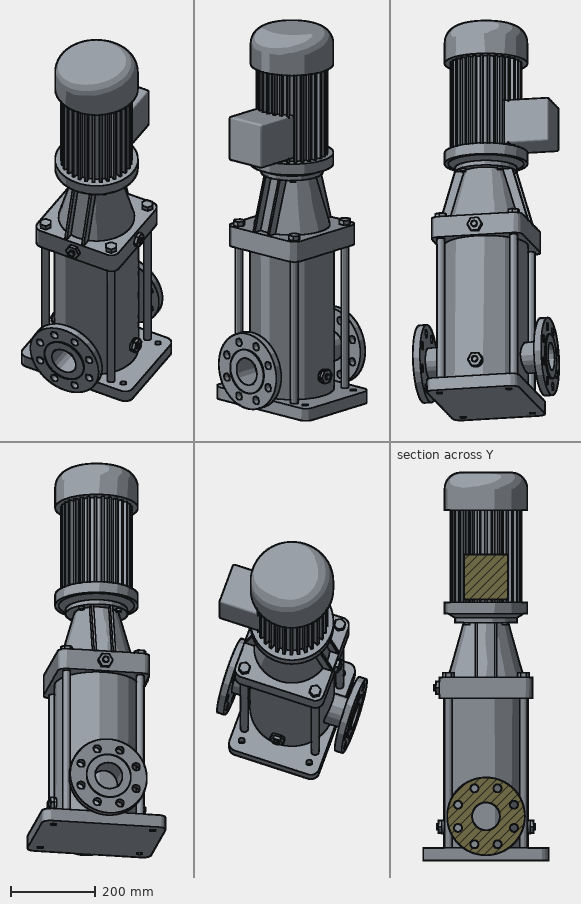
import cadquery as cq
import math


overall_depth = 325.0

base_size_x, base_size_y, base_height = 298.0, 224.5, 30.0
base_corner_radius = 20.0
base_hole_diameter = 14.0
base_hole_spacing_x, base_hole_spacing_y = 239.0, 169.0

casing_diameter = 200.0
head_size, head_corner_radius = 221.0, 20.0
head_bottom, head_top = 385.0, 434.0
rod_diameter = 18.0
rod_spacing = 178.0
nut_across_corners, nut_height = 28.0, 11.0

port_height = 105.0
pipe_diameter, bore_diameter = 74.0, 65.0
flange_diameter, flange_thickness = 185.0, 17.5
flange_outer_face = 156.0
raised_face_diameter, raised_face_height = 107.0, 3.0
flange_hole_diameter, flange_hole_count = 18.0, 8
flange_hole_circle = 143.5

plug_across_flats, plug_hex_height = 30.0, 8.0
plug_tip_diameter, plug_tip_height = 14.0, 5.0
plug_boss_diameter, plug_boss_height = 32.0, 5.0
head_plug_height = 409.0
drain_plug_height = 80.0

lantern_top = 564.0
lantern_bottom_radius, lantern_top_radius = 90.0, 53.0
rib_bottom_reach, rib_top_reach = 109.0, 70.0
rib_thickness, rib_offset = 5.5, 23.0
motor_bolt_diameter, motor_bolt_height, motor_bolt_spacing = 13.0, 5.5, 90.0

motor_diameter = 197.0
spigot_diameter, spigot_top = 147.0, 575.0
flare_diameter = 179.0
motor_flange_bottom, motor_flange_top = 585.0, 612.0
fan_cover_bottom, motor_top = 831.0, 920.0
fan_cover_fillet = 40.0
fin_count, fin_diameter, fin_root_diameter = 30, 170.0, 147.0
fin_thickness = 5.5

box_width, box_bottom, box_top = 105.0, 618.0, 726.0
box_outer_face = overall_depth - flange_outer_face - raised_face_height
box_fillet = 5.5

FACING_FRONT, FACING_RIGHT, FACING_BACK, FACING_LEFT = 0, 90, 180, 270


def cylinder(diameter, bottom, top):
    return cq.Workplane("XY").workplane(offset=bottom).circle(diameter / 2).extrude(top - bottom)


def rounded_plate(size_x, size_y, bottom, top, corner_radius):
    plate = cq.Workplane("XY").workplane(offset=bottom).rect(size_x, size_y).extrude(top - bottom)
    return plate.edges("|Z").fillet(corner_radius)


def base():
    plate = rounded_plate(base_size_x, base_size_y, 0, base_height, base_corner_radius)
    holes = (
        cq.Workplane("XY")
        .rect(base_hole_spacing_x, base_hole_spacing_y, forConstruction=True)
        .vertices()
        .circle(base_hole_diameter / 2)
        .extrude(base_height)
    )
    return plate.cut(holes)


def tie_rods():
    corners = cq.Workplane("XY").rect(rod_spacing, rod_spacing, forConstruction=True).vertices()
    rods = corners.circle(rod_diameter / 2).extrude(head_top)
    nuts = (
        cq.Workplane("XY")
        .workplane(offset=head_top)
        .rect(rod_spacing, rod_spacing, forConstruction=True)
        .vertices()
        .polygon(6, nut_across_corners)
        .extrude(nut_height)
    )
    return rods.union(nuts)


def port():
    """Flanged pipe along +Z with its start at the pump axis."""
    flange_inner_face = flange_outer_face - flange_thickness
    raised_face = flange_outer_face + raised_face_height
    holes = (
        cq.Workplane("XY")
        .workplane(offset=flange_inner_face)
        .polarArray(flange_hole_circle / 2, 180 / flange_hole_count, 360, flange_hole_count)
        .circle(flange_hole_diameter / 2)
        .extrude(flange_thickness)
    )
    return (
        cylinder(pipe_diameter, 0, flange_outer_face)
        .union(cylinder(flange_diameter, flange_inner_face, flange_outer_face))
        .union(cylinder(raised_face_diameter, flange_outer_face, raised_face))
        .cut(holes)
        .cut(cylinder(bore_diameter, 0, raised_face))
    )


def plug():
    """Hexagon plug seated at the origin and pointing along +Z."""
    across_corners = plug_across_flats / math.cos(math.radians(30))
    hexagon = cq.Workplane("XY").polygon(6, across_corners).extrude(plug_hex_height)
    return hexagon.union(cylinder(plug_tip_diameter, 0, plug_hex_height + plug_tip_height))


def facing(shape, turn, height):
    """Tip a shape from +Z to -Y, turn it about Z by an angle and lift it."""
    tipped = shape.rotate((0, 0, 0), (1, 0, 0), 90)
    return tipped.rotate((0, 0, 0), (0, 0, 1), turn).translate((0, 0, height))


def head_plugs():
    seated = plug().translate((0, 0, head_size / 2))
    front = facing(seated, FACING_FRONT, head_plug_height)
    return front.union(facing(seated, FACING_RIGHT, head_plug_height))


def drain_plugs():
    boss_face = casing_diameter / 2 + plug_boss_height
    drain = cylinder(plug_boss_diameter, 0, boss_face).union(plug().translate((0, 0, boss_face)))
    left = facing(drain, FACING_LEFT, drain_plug_height)
    return left.union(facing(drain, FACING_RIGHT, drain_plug_height))


def lantern():
    cone = (
        cq.Workplane("XZ")
        .moveTo(0, head_top)
        .lineTo(lantern_bottom_radius, head_top)
        .lineTo(lantern_top_radius, lantern_top)
        .lineTo(0, lantern_top)
        .close()
        .revolve(360, (0, 0, 0), (0, 1, 0))
    )
    rib = (
        cq.Workplane("YZ")
        .moveTo(-rib_bottom_reach, head_top)
        .lineTo(rib_bottom_reach, head_top)
        .lineTo(rib_top_reach, lantern_top)
        .lineTo(-rib_top_reach, lantern_top)
        .close()
        .extrude(rib_thickness / 2, both=True)
    )
    bolts = (
        cq.Workplane("XY")
        .workplane(offset=lantern_top - motor_bolt_height)
        .rect(motor_bolt_spacing, motor_bolt_spacing, forConstruction=True)
        .vertices()
        .circle(motor_bolt_diameter / 2)
        .extrude(motor_bolt_height)
    )
    body = cone.union(bolts)
    for side in (-1, 1):
        body = body.union(rib.translate((side * rib_offset, 0, 0)))
    return body


def motor():
    mount = (
        cq.Workplane("XZ")
        .moveTo(0, lantern_top)
        .lineTo(spigot_diameter / 2, lantern_top)
        .lineTo(spigot_diameter / 2, spigot_top)
        .lineTo(flare_diameter / 2, motor_flange_bottom)
        .lineTo(motor_diameter / 2, motor_flange_bottom)
        .lineTo(motor_diameter / 2, motor_flange_top)
        .lineTo(0, motor_flange_top)
        .close()
        .revolve(360, (0, 0, 0), (0, 1, 0))
    )
    core = cylinder(fin_root_diameter, motor_flange_top, fan_cover_bottom)
    fan_cover = cylinder(motor_diameter, fan_cover_bottom, motor_top)
    fan_cover = fan_cover.faces(">Z").edges().fillet(fan_cover_fillet)
    return mount.union(core).union(fan_cover)


def cooling_fins():
    fin_start, fin_end = fin_root_diameter / 4, fin_diameter / 2
    return (
        cq.Workplane("XY")
        .workplane(offset=motor_flange_top)
        .polarArray((fin_start + fin_end) / 2, 90, 360, fin_count)
        .rect(fin_end - fin_start, fin_thickness)
        .extrude(fan_cover_bottom - motor_flange_top)
    )


def terminal_box():
    box = cq.Workplane("XY").box(
        box_width, box_outer_face, box_top - box_bottom, centered=(True, False, False)
    )
    box = box.edges("|Y or >Y").fillet(box_fillet)
    return box.translate((0, 0, box_bottom))


casing = cylinder(casing_diameter, base_height, head_bottom)
head = rounded_plate(head_size, head_size, head_bottom, head_top, head_corner_radius)

result = facing(port(), FACING_FRONT, port_height).union(facing(port(), FACING_BACK, port_height))
for feature in (
    casing,
    base(),
    head,
    tie_rods(),
    head_plugs(),
    drain_plugs(),
    lantern(),
    motor(),
    cooling_fins(),
    terminal_box(),
):
    result = result.union(feature)